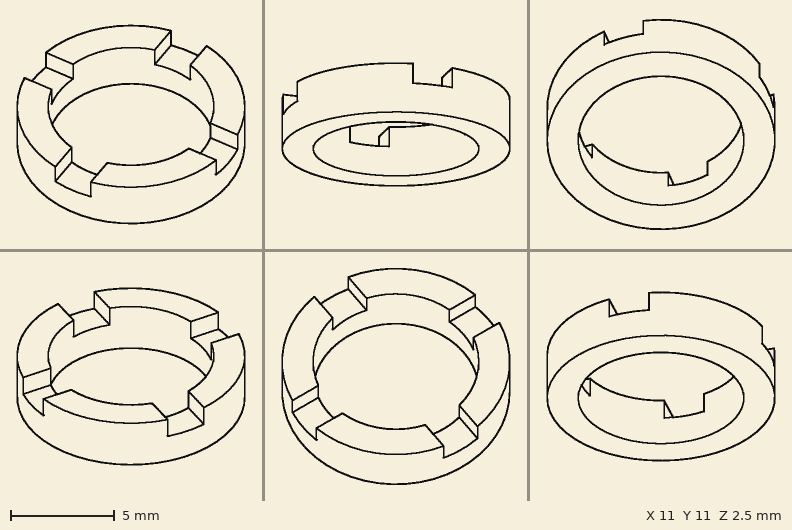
import cadquery as cq

outer_diameter = 11.0
inner_diameter = 8.0
height = 2.5
slot_width = 2.0
slot_depth = slot_width / 2


def slot_bar(angle):
    """Bar across the full ring that cuts two opposite slots in its top face."""
    return (
        cq.Workplane("XY")
        .workplane(offset=height - slot_depth)
        .rect(2 * outer_diameter, slot_width)
        .extrude(2 * slot_depth)
        .rotate((0, 0, 0), (0, 0, 1), angle)
    )


ring = (
    cq.Workplane("XY")
    .circle(outer_diameter / 2)
    .circle(inner_diameter / 2)
    .extrude(height)
)

for angle in (0, 90):
    ring = ring.cut(slot_bar(angle))

result = ring